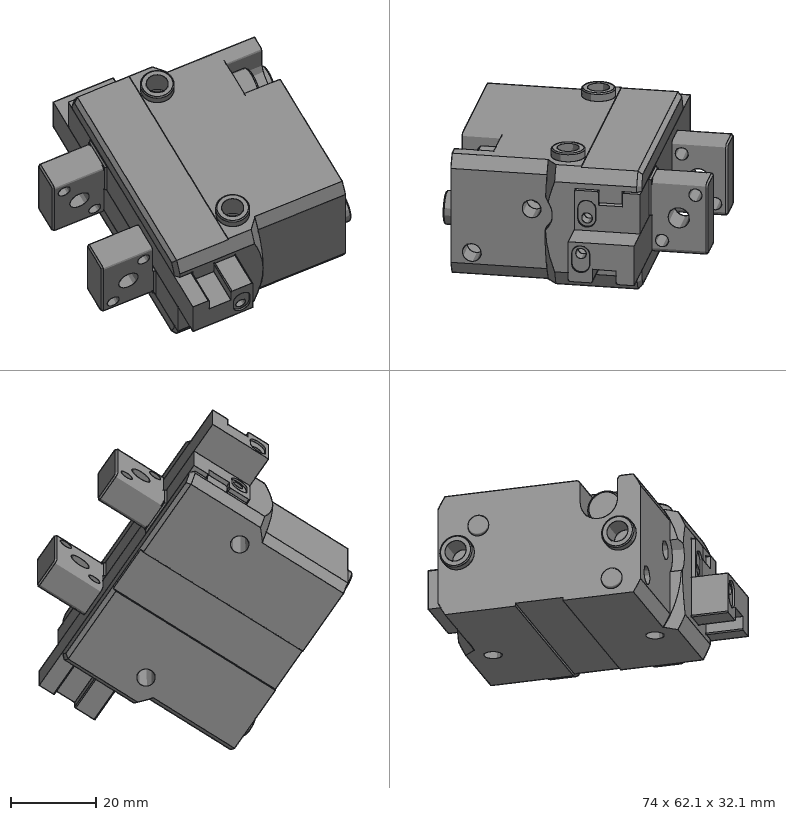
import cadquery as cq
import math


HALF_HEIGHT = 15.0
FRONT_WIDTH = 55.95
FRONT_DEPTH = 23.0
FRONT_TURN_RADIUS = 30.2
SHOULDER_CHAMFER = 2.4
FRONT_CHAMFER = 1.0
BACK_WIDTH = 50.0
BACK_TURN_RADIUS = 27.7
BACK_END = 46.0
RELIEF_DEPTH = 0.2
RELIEF_END = 14.6
BOTTOM_SLOT_WIDTH = 11.7
BOTTOM_SLOT_DEPTH = 0.75

SLEEVE_X = 20.0
SLEEVE_Y = 18.9
SLEEVE_RADIUS = 4.0
SLEEVE_HEIGHT = 2.1
SLEEVE_CHAMFER = 0.3
SLEEVE_BORE_RADIUS = 2.6
SLEEVE_BORE_DEPTH = 5.9
BOLT_HOLE_RADIUS = 2.15
BUTTON_RADIUS = 2.5
BUTTON_HEIGHT = 0.8
BUTTON_FILLET = 0.4
BUTTON_CENTRES = [(14.95, 6.5), (-18.0, -11.0)]

POCKET_X = -14.7
POCKET_Z = 9.3
POCKET_RADIUS = 4.6
POCKET_START = 36.6
POCKET_EDGE_FILLET = 1.0
HEAD_RADIUS = 4.4
HEAD_LENGTH = 4.7
HEAD_CHAMFER = 0.45

PORT_RADIUS = 2.2
PORT_DEPTH = 5.9
PORT_1 = (26.7, 2.95)
PORT_2 = (41.0, -9.0)
PORT_FEED_RADIUS = 0.9
PORT_FEED_DEPTH = 4.45
SPOTFACE_RADIUS = 5.5
DRILL_HALF_ANGLE = math.radians(59)

JAW_LENGTH = 66.0
JAW_END = 37.0
JAW_HEIGHT = 10.0
JAW_DEPTH = 15.75
JAW_CHAMFER = 0.3
GROOVE_START = 4.3
GROOVE_END = 10.0
GROOVE_DEPTH = 3.4
RAIL_SIDE_GAP = 0.2
RAIL_TIP_GAP = 0.2
RECESS_Y = 12.8
RECESS_Z = 4.2
RECESS_WIDTH = 4.3
RECESS_HEIGHT = 6.65
RECESS_DEPTH = 0.5
RECESS_HOLE_Z = 2.95
RECESS_HOLE_RADIUS = 1.25
RECESS_HOLE_DEPTH = 3.7

FINGER_X = -12.95
FINGER_WIDTH = 8.15
FINGER_HEIGHT = 18.05
FINGER_LENGTH = 14.0
FINGER_GAP = 0.7
FINGER_FILLET = 1.0
FINGER_TIP_CHAMFER = 0.45
FLARE = 0.45
NECK_START = 0.2
PIN_HOLE_RADIUS = 1.55
PIN_OFFSET_Y = 4.0
PIN_OFFSET_Z = 6.0
CENTRE_HOLE_RADIUS = 2.5
FINGER_HOLE_Y = -7.0


def block(x0, x1, y0, y1, z0, z1):
    """Box between two opposite corners."""
    return cq.Workplane("XY").box(x1 - x0, y1 - y0, z1 - z0, centered=False).translate((x0, y0, z0))


def rod(radius, length, start, direction):
    """Round rod from a start point along a direction."""
    return cq.Workplane(cq.Solid.makeCylinder(radius, length, cq.Vector(*start), cq.Vector(*direction)))


def drilled_hole(radius, depth, start, direction):
    """Cutter for a blind hole with a conical drill tip."""
    axis = cq.Vector(*direction)
    tip_start = cq.Vector(*start) + axis * depth
    tip = cq.Solid.makeCone(radius, 0, radius / math.tan(DRILL_HALF_ANGLE), tip_start, axis)
    return rod(radius, depth, start, direction).union(cq.Workplane(tip))


def turned_block(width, start, end, radius, back_chamfer=0.0):
    """Rectangular block whose long edges are turned to a radius about Y."""
    box = block(-width / 2, width / 2, start, end, -HALF_HEIGHT, HALF_HEIGHT)
    turned = rod(radius, end - start, (0, start, 0), (0, 1, 0))
    if back_chamfer:
        turned = turned.faces(">Y").chamfer(back_chamfer)
    return box.intersect(turned)


def jaw_channel():
    """Space for both jaws, leaving a guide rail above and below."""
    half = FRONT_WIDTH / 2
    channel = block(-half, half, 0, JAW_DEPTH, -JAW_HEIGHT, JAW_HEIGHT)
    rail_tip = JAW_HEIGHT - GROOVE_DEPTH + RAIL_TIP_GAP
    for z0, z1 in [(rail_tip, JAW_HEIGHT), (-JAW_HEIGHT, -rail_tip)]:
        channel = channel.cut(block(-half, half, GROOVE_START + RAIL_SIDE_GAP, GROOVE_END, z0, z1))
    return channel


def screw_pocket():
    """U-shaped pocket, open at the top and back, with rounded top edges."""
    r = POCKET_RADIUS
    f = POCKET_EDGE_FILLET
    top = HALF_HEIGHT - POCKET_Z
    k = f * (1 - math.sqrt(0.5))
    return (
        cq.Workplane("XZ", origin=(POCKET_X, BACK_END, POCKET_Z))
        .moveTo(-r - f, top)
        .threePointArc((-r - k, top - k), (-r, top - f))
        .lineTo(-r, 0)
        .threePointArc((0, -r), (r, 0))
        .lineTo(r, top - f)
        .threePointArc((r + k, top - k), (r + f, top))
        .close()
        .extrude(BACK_END - POCKET_START)
    )


def add_sleeve(body, mouth, outward):
    """Chamfered sleeve standing on a face, with a blind bore."""
    direction = cq.Vector(*outward)
    end = cq.Vector(*mouth) + direction * SLEEVE_HEIGHT
    sleeve = rod(SLEEVE_RADIUS, SLEEVE_HEIGHT, mouth, outward)
    sleeve = sleeve.faces(cq.selectors.DirectionMinMaxSelector(direction, True)).chamfer(SLEEVE_CHAMFER)
    bore = rod(SLEEVE_BORE_RADIUS, SLEEVE_BORE_DEPTH, end.toTuple(), (-direction).toTuple())
    return body.union(sleeve).cut(bore)


def make_housing():
    half = FRONT_WIDTH / 2
    side = -BACK_WIDTH / 2

    front = turned_block(FRONT_WIDTH, 0, FRONT_DEPTH, FRONT_TURN_RADIUS, SHOULDER_CHAMFER)
    front = front.cut(block(-half, half, 0, RELIEF_END, HALF_HEIGHT - RELIEF_DEPTH, HALF_HEIGHT))
    front = front.faces("<Y").chamfer(FRONT_CHAMFER)

    front = front.cut(rod(SPOTFACE_RADIUS, half + side, (-half, *PORT_1), (1, 0, 0)))

    body = front.union(turned_block(BACK_WIDTH, FRONT_DEPTH, BACK_END, BACK_TURN_RADIUS))
    body = body.cut(jaw_channel())

    slot_half = BOTTOM_SLOT_WIDTH / 2
    body = body.cut(
        block(-slot_half, slot_half, 0, BACK_END, -HALF_HEIGHT, -HALF_HEIGHT + BOTTOM_SLOT_DEPTH)
    )

    body = body.cut(screw_pocket())
    head = rod(HEAD_RADIUS, HEAD_LENGTH, (POCKET_X, POCKET_START, POCKET_Z), (0, 1, 0))
    body = body.union(head.faces(">Y").chamfer(HEAD_CHAMFER))

    for x in (-SLEEVE_X, SLEEVE_X):
        body = add_sleeve(body, (x, SLEEVE_Y, HALF_HEIGHT), (0, 0, 1))
        body = body.cut(rod(BOLT_HOLE_RADIUS, 2 * HALF_HEIGHT, (x, SLEEVE_Y, -HALF_HEIGHT), (0, 0, 1)))
        body = add_sleeve(body, (x, BACK_END, 0), (0, 1, 0))

    for x, z in BUTTON_CENTRES:
        button = rod(BUTTON_RADIUS, BUTTON_HEIGHT, (x, BACK_END, z), (0, 1, 0))
        body = body.union(button.faces(">Y").edges().fillet(BUTTON_FILLET))

    for port in (PORT_1, PORT_2):
        body = body.cut(drilled_hole(PORT_RADIUS, PORT_DEPTH, (side, *port), (1, 0, 0)))
    body = body.cut(rod(PORT_FEED_RADIUS, PORT_FEED_DEPTH, (side + PORT_DEPTH, *PORT_1), (1, 0, 0)))
    return body


def finger():
    """Gripping finger, joined to its jaw over its upper half only."""
    half_width = FINGER_WIDTH / 2
    half_height = FINGER_HEIGHT / 2
    bar = block(-half_width, half_width, -FINGER_LENGTH, -FINGER_GAP, -half_height, half_height)
    bar = bar.edges("|Y").fillet(FINGER_FILLET).faces("<Y").chamfer(FINGER_TIP_CHAMFER)
    neck = block(-half_width, half_width, -FINGER_GAP, 0, NECK_START, half_height)
    flare = (
        cq.Workplane("XZ")
        .center(0, (NECK_START + half_height + FLARE) / 2)
        .rect(FINGER_WIDTH + 2 * FLARE, half_height + FLARE - NECK_START)
        .workplane(offset=FLARE)
        .center(0, -FLARE / 2)
        .rect(FINGER_WIDTH, half_height - NECK_START)
        .loft(ruled=True)
    )
    return bar.union(neck).union(flare).translate((FINGER_X, 0, 0))


def finger_holes():
    """Cross hole and two diagonal pin holes through the finger along X."""
    start = FINGER_X - FINGER_WIDTH / 2
    holes = rod(CENTRE_HOLE_RADIUS, FINGER_WIDTH, (start, FINGER_HOLE_Y, 0), (1, 0, 0))
    for sign in (-1, 1):
        centre = (start, FINGER_HOLE_Y + sign * PIN_OFFSET_Y, -sign * PIN_OFFSET_Z)
        holes = holes.union(rod(PIN_HOLE_RADIUS, FINGER_WIDTH, centre, (1, 0, 0)))
    return holes


def end_recess(x, inward):
    """Obround recess with a drilled hole in one end face of the jaw."""
    recess = (
        cq.Workplane("YZ", origin=(x, RECESS_Y, RECESS_Z))
        .slot2D(RECESS_HEIGHT, RECESS_WIDTH, 90)
        .extrude(inward * RECESS_DEPTH)
    )
    hole = drilled_hole(RECESS_HOLE_RADIUS, RECESS_HOLE_DEPTH, (x, RECESS_Y, RECESS_HOLE_Z), (inward, 0, 0))
    return recess.union(hole)


def make_jaw():
    """Upper jaw: grooved bar with its finger on the -X half."""
    groove_floor = JAW_HEIGHT - GROOVE_DEPTH
    c = JAW_CHAMFER
    outline = [
        (0, 0),
        (JAW_DEPTH, 0),
        (JAW_DEPTH, JAW_HEIGHT - c),
        (JAW_DEPTH - c, JAW_HEIGHT),
        (GROOVE_END + c, JAW_HEIGHT),
        (GROOVE_END, JAW_HEIGHT - c),
        (GROOVE_END, groove_floor),
        (GROOVE_START, groove_floor),
        (GROOVE_START, JAW_HEIGHT - c),
        (GROOVE_START - c, JAW_HEIGHT),
        (0, JAW_HEIGHT),
    ]
    near_end = JAW_END - JAW_LENGTH
    jaw = cq.Workplane("YZ", origin=(near_end, 0, 0)).polyline(outline).close().extrude(JAW_LENGTH)
    jaw = jaw.cut(end_recess(near_end, 1)).cut(end_recess(JAW_END, -1))
    return jaw.union(finger()).cut(finger_holes())


housing = make_housing()
upper_jaw = make_jaw()
lower_jaw = upper_jaw.rotate((0, 0, 0), (0, 1, 0), 180)

result = cq.Compound.makeCompound([
    housing.solids().val(),
    upper_jaw.solids().val(),
    lower_jaw.solids().val(),
])